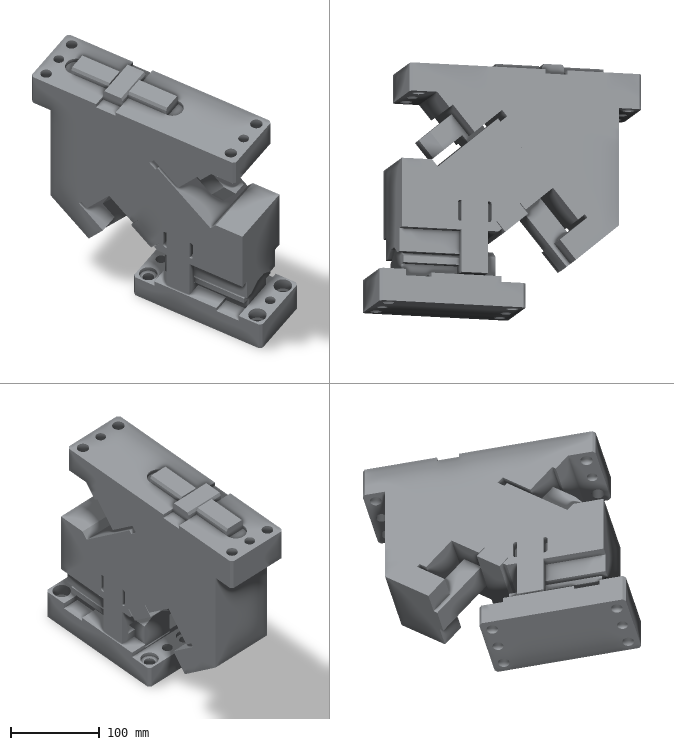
import cadquery as cq
import math


width = 80.0
corner_chamfer = 3.0
bolt_offset = 27.5
hole_inset = 12.8
dowel_diameter = 12.2

slide_angle = math.radians(50)
slide_origin_x = 103.7
slide_origin_z = 139.0


def inclined(along, off):
    """XZ point given by its distances along and off the sliding face."""
    x = slide_origin_x + along * math.cos(slide_angle) + off * math.sin(slide_angle)
    z = slide_origin_z + along * math.sin(slide_angle) - off * math.cos(slide_angle)
    return (x, z)


def off_at_height(along, z):
    """Distance off the sliding face at which the line square to it at `along` reaches height z."""
    return (slide_origin_z + along * math.sin(slide_angle) - z) / math.cos(slide_angle)


def along_at_height(off, z):
    """Distance along the sliding face at which the line parallel to it at `off` reaches height z."""
    return (z - slide_origin_z + off * math.cos(slide_angle)) / math.sin(slide_angle)


def off_at_x(along, x):
    """Distance off the sliding face at which the line square to it at `along` reaches x."""
    return (x - slide_origin_x - along * math.cos(slide_angle)) / math.sin(slide_angle)


def prism(points, y_width):
    """XZ outline extruded symmetrically about Y = 0."""
    return cq.Workplane("XZ").polyline(points).close().extrude(y_width / 2, both=True)


def inclined_bar(along_range, off_range, y_width):
    """Bar lined up with the sliding face and centred on Y = 0."""
    low, high = along_range
    near, far = off_range
    corners = [inclined(low, near), inclined(high, near), inclined(high, far), inclined(low, far)]
    return prism(corners, y_width)


def box(x_range, y_range, z_range):
    """Axis-aligned box between the given limits."""
    size = [high - low for low, high in (x_range, y_range, z_range)]
    corner = (x_range[0], y_range[0], z_range[0])
    return cq.Workplane("XY").box(*size, centered=False).translate(corner)


def cylinders(points, diameter, z_low, z_high):
    """Vertical cylinders at XY points, used to cut holes."""
    return (
        cq.Workplane("XY", origin=(0, 0, z_low)).pushPoints(points)
        .circle(diameter / 2).extrude(z_high - z_low)
    )


def chamfered_plate(x_range, z_range):
    """Full-width plate with chamfered vertical corners."""
    return box(x_range, (-width / 2, width / 2), z_range).edges("|Z").chamfer(corner_chamfer)


rail_width = 29.5
rail_near = 11.0
rail_far = 37.2

plate_length = 270.0
plate_top = 274.8
plate_bottom_left = 234.5
plate_bottom_right = 242.5
body_left = 26.5
foot_end = -79.5
foot_inner = -50.3
foot_relief = 4.5
head_start = 104.3
head_relief = 9.0
relief_depth = 10.0
seat_off = 31.7
seat_end = 143.7
shoulder_off = 37.0
left_bolt_diameter = 13.0
right_bolt_diameter = 14.0

lug_start = 109.8
lug_end = 135.7
lug_taper_start = 64.7
lug_tip = 79.3
lug_tip_width = 17.0

groove_left = 86.5
groove_right = 112.2
groove_depth = 5.0
key_slot_left = 23.2
key_slot_right = 175.7
key_left = 37.2
key_right = 162.5
key_width = 25.3
cross_key_length = 50.0
key_top = 284.0
key_chamfer_height = 3.7
key_chamfer_width = 1.8


def holder_body():
    """Holder web and its foot, full width, with the plate corners chamfered."""
    head_line = inclined(along_at_height(shoulder_off, plate_bottom_right), shoulder_off)
    outline = [
        (body_left, plate_top),
        (body_left, inclined(foot_end, off_at_x(foot_end, body_left))[1]),
        inclined(foot_end, seat_off),
        inclined(foot_inner, seat_off),
        inclined(foot_inner, -relief_depth),
        inclined(foot_inner + foot_relief, -relief_depth),
        inclined(foot_inner + foot_relief, 0),
        inclined(head_start - head_relief, 0),
        inclined(head_start - head_relief, -relief_depth),
        inclined(head_start, -relief_depth),
        inclined(head_start, seat_off),
        inclined(seat_end, seat_off),
        inclined(seat_end, shoulder_off),
        head_line,
        (head_line[0], plate_top),
    ]
    web = prism(outline, width)
    plate = chamfered_plate((0, plate_length), (plate_bottom_right, plate_top))
    left_lip = box((0, body_left), (-width / 2, width / 2), (plate_bottom_left, plate_bottom_right))
    left_lip = left_lip.edges("|Z and <X").chamfer(corner_chamfer)
    return web.union(plate).union(left_lip)


def guide_rail():
    """Rail between the foot and the stop lug, running through the slider."""
    return inclined_bar((foot_end, lug_start), (rail_near, rail_far), rail_width)


def stop_lug():
    """Lug standing off the seat at the upper end, its sides tapered towards the tip."""
    lug = inclined_bar((lug_start, lug_end), (seat_off, lug_tip), rail_width)
    section = [
        (-rail_width / 2, lug_taper_start),
        (-lug_tip_width / 2, lug_tip),
        (lug_tip_width / 2, lug_tip),
        (rail_width / 2, lug_taper_start),
        (rail_width / 2, seat_off),
        (-rail_width / 2, seat_off),
    ]
    start_x, start_z = inclined(lug_start, 0)
    section_plane = cq.Plane(
        origin=(start_x, 0, start_z),
        xDir=(0, 1, 0),
        normal=(-math.cos(slide_angle), 0, -math.sin(slide_angle)),
    )
    tapered = cq.Workplane(section_plane).polyline(section).close().extrude(lug_start - lug_end)
    return lug.intersect(tapered)


def key_bar(length, bar_width):
    """Key bar along X from the groove floor up, its long top edges bevelled."""
    half = bar_width / 2
    floor = plate_top - groove_depth
    section = [
        (-half, floor),
        (half, floor),
        (half, key_top - key_chamfer_height),
        (half - key_chamfer_width, key_top),
        (key_chamfer_width - half, key_top),
        (-half, key_top - key_chamfer_height),
    ]
    return cq.Workplane("YZ").polyline(section).close().extrude(length / 2, both=True)


def locating_keys():
    """Long key and the cross key over it."""
    groove_middle = (groove_left + groove_right) / 2
    long_key = key_bar(key_right - key_left, key_width).translate(((key_left + key_right) / 2, 0, 0))
    cross_key = key_bar(cross_key_length, groove_right - groove_left)
    cross_key = cross_key.rotate((0, 0, 0), (0, 0, 1), 90).translate((groove_middle, 0, 0))
    half_cross = cross_key_length / 2
    passage = box((groove_left, groove_right), (-half_cross, half_cross), (plate_top - groove_depth, key_top))
    return long_key.cut(passage).union(cross_key)


def key_recesses():
    """Round-ended slot and cross groove in the top of the plate."""
    floor = plate_top - groove_depth
    slot = (
        cq.Workplane("XY", origin=((key_slot_left + key_slot_right) / 2, 0, floor))
        .slot2D(key_slot_right - key_slot_left, key_width).extrude(groove_depth)
    )
    groove = box((groove_left, groove_right), (-width / 2, width / 2), (floor, plate_top))
    return slot.union(groove)


def make_holder():
    holder = holder_body().union(guide_rail()).union(stop_lug())
    holder = holder.cut(key_recesses()).union(locating_keys())
    right_row = plate_length - hole_inset
    for x, bolt_diameter in ((hole_inset, left_bolt_diameter), (right_row, right_bolt_diameter)):
        bolts = [(x, -bolt_offset), (x, bolt_offset)]
        holder = holder.cut(cylinders(bolts, bolt_diameter, plate_bottom_left, plate_top))
        holder = holder.cut(cylinders([(x, 0)], dowel_diameter, plate_bottom_left, plate_top))
    return holder


base_left = 135.0
base_right = 305.0
base_left_top = 28.0
pad_left = 163.5
pad_top = 34.5
trough_left = 245.5
trough_floor = 30.0
base_right_top = 37.2
base_bolt_diameter = 13.0
counterbore_diameter = 20.7
counterbore_floor = 23.0

driver_left = 165.0
driver_right = 275.0
stem_width = 38.5
driver_head_left = 195.2
driver_head_width = 56.7
driver_head_bottom = 47.3
roof_eave = 55.0
roof_ridge = 68.0
roof_pitch = math.radians(31)


def roof_prism(x_range, y_width, z_low):
    """Bar along X under the driver's roof: two slopes and a flat ridge."""
    half = y_width / 2
    eave = roof_eave + (driver_head_width / 2 - half) * math.tan(roof_pitch)
    ridge_half = half - (roof_ridge - eave) / math.tan(roof_pitch)
    section = [
        (-half, z_low),
        (half, z_low),
        (half, eave),
        (ridge_half, roof_ridge),
        (-ridge_half, roof_ridge),
        (-half, eave),
    ]
    start, end = x_range
    return cq.Workplane("YZ", origin=(start, 0, 0)).polyline(section).close().extrude(end - start)


def make_base():
    base = chamfered_plate((base_left, base_right), (0, base_right_top))
    half = width / 2
    base = base.cut(box((base_left, pad_left), (-half, half), (base_left_top, base_right_top)))
    base = base.cut(box((pad_left, trough_left), (-half, half), (pad_top, base_right_top)))
    base = base.cut(box((trough_left, driver_right), (-half, half), (trough_floor, base_right_top)))
    stem_half = stem_width / 2
    base = base.cut(box((pad_left, driver_left), (-stem_half, stem_half), (trough_floor, pad_top)))

    base = base.union(roof_prism((driver_left, driver_right), stem_width, trough_floor))
    base = base.union(roof_prism((driver_head_left, driver_right), driver_head_width, driver_head_bottom))

    for x in (base_left + hole_inset, base_right - hole_inset):
        bolts = [(x, -bolt_offset), (x, bolt_offset)]
        base = base.cut(cylinders(bolts, base_bolt_diameter, 0, base_right_top))
        base = base.cut(cylinders(bolts, counterbore_diameter, counterbore_floor, base_right_top))
        base = base.cut(cylinders([(x, 0)], dowel_diameter, 0, base_right_top))
    return base


slider_right = 280.0
slider_top = 164.7
slider_bottom = 85.7
slider_head = 99.7
slider_step_off = 91.5
saddle_bottom = 59.5

strip_near = 42.5
strip_far = 77.0
strip_drop = 5.2
strip_slit_depth = 9.8
strip_slit_width = 0.75

leg_left = 179.5
leg_right = 210.0
leg_bottom = 37.2
leg_inner = 30.2
hook_inner = 20.0
leg_pocket_border = 4.5
leg_pocket_bottom = 95.8
leg_pocket_top = 119.5
leg_pocket_radius = 3.0


def slider_body():
    """Full-width slider block against the sliding face."""
    outline = [
        inclined(0, 0),
        inclined(slider_head, 0),
        inclined(slider_head, slider_step_off),
        inclined(along_at_height(slider_step_off, slider_top), slider_step_off),
        (slider_right, slider_top),
        (slider_right, slider_bottom),
        inclined(0, off_at_height(0, slider_bottom)),
    ]
    return prism(outline, width)


def end_strip():
    """Strip standing below the lower inclined face."""
    return inclined_bar((-strip_drop, strip_slit_depth), (strip_near, strip_far), width)


def strip_slits():
    """Thin slits that bound the strip on both sides."""
    depth = (0, strip_slit_depth)
    upper = inclined_bar(depth, (strip_near - strip_slit_width, strip_near), width)
    lower = inclined_bar(depth, (strip_far, strip_far + strip_slit_width), width)
    return upper.union(lower)


def retaining_leg(side):
    """Leg with its hook under the driver head; side is -1 or +1 for the sign of Y."""
    x_range = (leg_left, leg_right)
    outer = width / 2
    leg = box(x_range, (leg_inner, outer), (leg_bottom, slider_bottom))
    leg = leg.union(box(x_range, (hook_inner, leg_inner), (leg_bottom, driver_head_bottom)))
    return leg if side > 0 else leg.mirror("XZ")


def leg_pocket(side):
    """Round-cornered pocket in the slider's side, filled by the leg but for a gap at each edge."""
    outer = width / 2
    x_range = (leg_left - leg_pocket_border, leg_right + leg_pocket_border)
    pocket = box(x_range, (leg_inner, outer), (leg_pocket_bottom, leg_pocket_top))
    pocket = pocket.edges("|Y").fillet(leg_pocket_radius)
    pocket = pocket.cut(box((leg_left, leg_right), (leg_inner, outer), (leg_pocket_bottom, leg_pocket_top)))
    return pocket if side > 0 else pocket.mirror("XZ")


def make_slider():
    slider = slider_body().union(end_strip()).cut(strip_slits())
    saddle = box((leg_left, slider_right), (-leg_inner, leg_inner), (saddle_bottom, slider_bottom))
    roof_seat = roof_prism((leg_left, slider_right), driver_head_width, driver_head_bottom)
    slider = slider.union(saddle.cut(roof_seat))
    for side in (-1, 1):
        slider = slider.union(retaining_leg(side)).cut(leg_pocket(side))
    return slider.cut(guide_rail())


holder = make_holder()
slider = make_slider()
base = make_base()

result = cq.Compound.makeCompound([
    holder.solids().val(),
    slider.solids().val(),
    base.solids().val(),
])